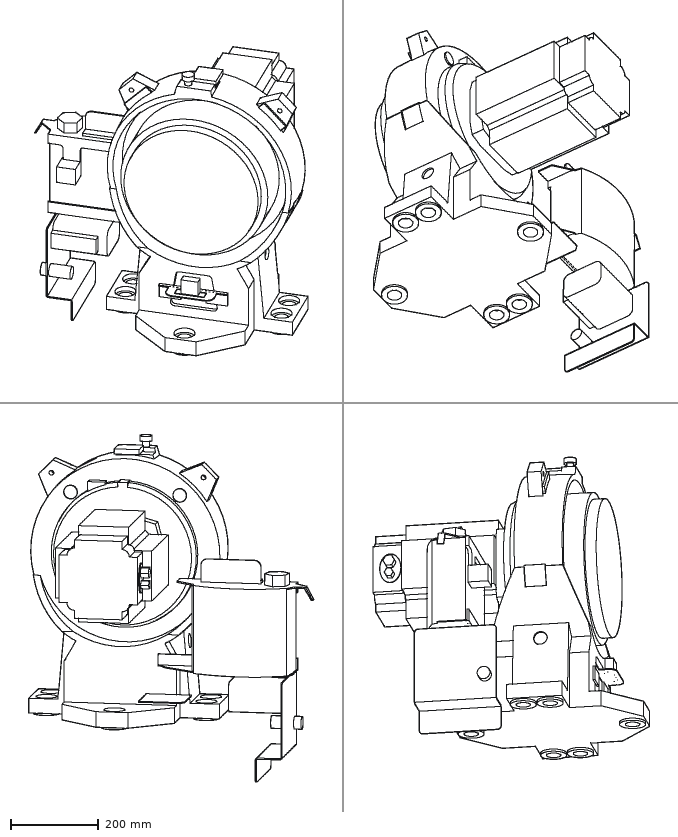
import cadquery as cq

RING_R = 221.5
RING_END_R = 219.0
RING_FRONT = -66.0
RING_BACK = 46.0
RECESS_R = 206.0
RECESS_FLOOR_R = 198.5
RECESS_DEPTH = 52.0
DRUM_R = 175.0
DRUM_FRONT = -107.5
COVER_R = 160.0
COVER_FRONT = -133.5
REAR_DRUM_R = 168.5
REAR_DRUM_BACK = 82.0
REAR_BEVEL_LENGTH = 16.5
REAR_BEVEL_DEPTH = 8.0
REAR_RIB_HALF = 11.0
REAR_RIB_TOP = 171.0
REAR_RIB_FOOT = 134.0
REAR_PAD_LEFT = 43.0
REAR_PAD_RIGHT = 83.5
REAR_PAD_BACK = 69.0
REAR_PAD_TOP = 168.0
REAR_STUD_R = 16.0
REAR_STUD_X = 127.0
REAR_STUD_Z = 139.0
REAR_STUD_H = 4.0
SKIRT_TOP = -57.5
SKIRT_BOTTOM = -174.5
SIDE_PAD = 49.0
SIDE_PAD_DEPTH = 3.0
SIDE_PAD_ANGLE = 20.5

BASE_BOTTOM = -375.0
PED_FRONT = -111.0
PED_BACK = 110.0
PED_TOP = -164.0
PED_HALF = 130.5
PED_BEVEL_TOP_HALF = 85.0
PED_BEVEL_BOTTOM = -243.0
CORE_FRONT = -66.0
CORE_BACK = 63.5
CORE_TOP_HALF = 138.0
CORE_BOTTOM_HALF = 154.0
SIDE_SPOT_R = 16.0
SIDE_SPOT_Z = -207.0
SIDE_SPOT_FLOOR = 136.0
FOOT_TOP = -341.0
PLATFORM_TOP = -339.0
PLATFORM_SHOULDER = 28.0
PLATFORM_TIP_Y = 221.0
PLATFORM_TIP_HALF = 37.0
BOLT_R = 16.5
BOLT_BORE_R = 24.0
BOLT_BORE_DEPTH = 11.0
BOLT_PAD_R = 30.0
BOLT_PAD_H = 5.0
FOOT_BOLT_X = 186.0
FOOT_BOLT_Y = 31.0
FRONT_BOLT_Y = -188.0

LATCH_Z = -262.0
LATCH_T = 2.0
LATCH_HALF = 57.5
LATCH_FRONT = -160.0
LATCH_CORNER = 19.0
LATCH_BLOCK_HALF = 20.0
LATCH_BLOCK_TOP = -224.5
LATCH_BLOCK_FRONT = -147.0
LATCH_BLOCK_BACK = -127.5
LATCH_PAD_HALF = 35.0
LATCH_PAD_FRONT = -148.5
LATCH_PAD_H = 1.5
WING_INNER = 30.0
WING_OUTER = 81.0
WING_BOTTOM = -294.0
WING_T = 4.5
WING_TOP_FRONT = -121.0
LATCH_POCKET_BOTTOM = -315.0
LATCH_POCKET_DEPTH = 10.5
LATCH_POCKET_TOP_HALF = 42.0

LUG_ROOT_R = 209.0
LUG_TIP_R = 268.5
LUG_ROOT_HALF = 48.5
LUG_TIP_HALF = 24.0
LUG_BACK = 19.0
LUG_FRONT = -14.0
LUG_STEP_FRONT = -19.5
LUG_STEP_R = 236.0
LUG_STEP_HALF = 37.0
LUG_HOLE_R = 5.0
LUG_HOLE_AT = 250.0
BOSS_LEFT = -61.0
BOSS_LEFT_SLOPE = 7.5
BOSS_RIGHT = 30.0
BOSS_RIGHT_SLOPE = 2.0
BOSS_TOP = 233.0
BOSS_ROOT = 207.5
BOSS_BACK = 4.0
BOSS_STEP_Y = -33.0
BOSS_STEP_TOP = 223.0
CAP_HALF = 29.0
CAP_BOTTOM = 227.0
CAP_TOP = 239.0
CAP_STEM_HALF = 21.0
SCREW_X = -31.0
SCREW_Y = -48.5
SCREW_R = 8.0
SCREW_HEAD_R = 14.0
SCREW_NECK_TOP = 246.0
SCREW_TOP = 258.0

MOTOR_HALF = 112.0
MOTOR_FRONT = 113.5
MOTOR_BACK = 329.0
MOTOR_RIB_HALF = 58.0
MOTOR_NOTCH_BEVEL = 9.0
END_CAP_HALF = 91.0
END_CAP_BACK = 400.0
END_CAP_RIB_HALF = 55.0
END_CAP_ROUND = 17.0
NECK_FLAT_HALF = 48.5
NECK_CORNER_HALF = 82.0
PLUG_Y = 359.0
PLUG_HALF_Y = 24.5
PLUG_HALF_Z = 34.0
PLUG_T = 2.0
PIN_TIP_X = -112.0
PIN_Z = (13.5, -15.0)
PIN_D = (27.0, 21.0)

TANK_LEFT = -411.0
TANK_RIGHT = -178.0
TANK_FRONT = 123.0
TANK_SIDE_BACK = 177.0
TANK_ARC_Y = 202.0
TANK_CROWN_Y = 230.5
TANK_ARC_INSET = 8.0
LID_TOP = -42.0
LID_T = 3.0
LID_FRONT = 115.0
LID_LEFT = -413.0
LID_RIGHT = -139.5
LID_SIDE_BACK = 137.0
LID_SHOULDER_Y = 186.5
LID_NOTCH_X = -183.5
LID_EAR_BACK = 152.0
LIP_X = -443.0
LIP_ROOT_X = -418.0
LIP_TIP_X = -459.5
LIP_TIP_Z = -72.0
LIP_FRONT = 165.0
LIP_BACK = 180.5
APRON_BOTTOM = -66.0
APRON_FILLET = 9.0
TONGUE_LEFT = -377.0
TONGUE_RIGHT = -336.5
KNOB_LEFT = -381.0
KNOB_TOP = -102.0
KNOB_SIDE = 40.0
KNOB_FRONT = 76.0
HEX_X = -373.0
HEX_Y = 158.0
HEX_D = 58.0
HEX_TOP = -16.0
HEX_TURN = 19.0
FENCE_LEFT = -334.0
FENCE_RIGHT = -195.0
FENCE_FRONT = 129.0
FENCE_BACK = 154.0
FENCE_BASE_TOP = -35.0
FENCE_TOP = 12.0
FENCE_T = 4.0
FENCE_CORNER = 15.0
STRAP_TOP = -218.5
STRAP_BOTTOM = -246.0
STRAP_T = 4.5
STRAP_END_X = -89.5
SPACER_LEFT = -165.5
SPACER_INSET = 3.0
SHELF_T = 2.0
SHELF_BACK = 189.0
SHELF_BEND_X = -112.0
SHELF_BEND_Y = 144.0
REAR_PLATE_LEFT = -165.5
REAR_PLATE_RIGHT = -60.0
REAR_PLATE_BACK = 211.0
REAR_PLATE_TOP = -313.0
REAR_PLATE_CHAMFER = 10.5

BRACKET_X = -400.0
BRACKET_T = 3.0
BRACKET_FRONT = 54.0
BRACKET_BACK = 245.0
BRACKET_TOP = -255.0
BRACKET_SHELF_Z = -433.5
BRACKET_BOTTOM = -488.0
BRACKET_TOE_X = -337.0
BRACKET_CORNER = 9.0
BRACKET_BEND = 6.0
HOUSING_END_X = -267.0
LEDGE_END_X = -289.0
HOUSING_TOP = -265.5
HOUSING_BOTTOM = -336.0
HOUSING_FRONT = 83.0
HOUSING_STEP_Y = 98.5
HOUSING_BACK = 201.5
HOUSING_ROUND = 16.0
ROD_LEFT = -417.0
ROD_RIGHT = -346.0
ROD_Y = 80.0
ROD_Z = -375.0
ROD_R = 15.0


def block(x0, x1, y0, y1, z0, z1):
    """Box given by its limits along each axis."""
    return cq.Workplane("XY").box(x1 - x0, y1 - y0, z1 - z0, centered=False).translate((x0, y0, z0))


def prism_x(points, x0, x1):
    """(Y, Z) polygon running from x0 to x1."""
    return cq.Workplane("YZ", origin=(x0, 0, 0)).polyline(points).close().extrude(x1 - x0)


def prism_y(points, y0, y1):
    """(X, Z) polygon running from y0 to y1."""
    return cq.Workplane("XZ", origin=(0, y1, 0)).polyline(points).close().extrude(y1 - y0)


def prism_z(points, z0, z1):
    """(X, Y) polygon running from z0 to z1."""
    return cq.Workplane("XY", origin=(0, 0, z0)).polyline(points).close().extrude(z1 - z0)


def disc_x(y, z, radius, x0, x1):
    """Cylinder lying along X."""
    return cq.Workplane("YZ", origin=(x0, y, z)).circle(radius).extrude(x1 - x0)


def disc_y(radius, y0, y1):
    """Cylinder on the ring axis."""
    return cq.Workplane("XZ", origin=(0, y1, 0)).circle(radius).extrude(y1 - y0)


def disc_z(x, y, radius, z0, z1):
    """Upright cylinder."""
    return cq.Workplane("XY", origin=(x, y, z0)).circle(radius).extrude(z1 - z0)


def revolve_y(points):
    """(radius, Y) half profile turned about the ring axis."""
    return cq.Workplane("XY").polyline(points).close().revolve(360, (0, 0), (0, 1))


def mirrored(points):
    """Complete a half outline by mirroring it across X = 0."""
    return points + [(-a, b) for a, b in reversed(points)]


def make_pedestal():
    """Bevelled pedestal, curved skirt, feet and platforms."""
    bevelled = prism_y(
        mirrored([(PED_BEVEL_TOP_HALF, PED_TOP), (PED_HALF, PED_BEVEL_BOTTOM), (PED_HALF, BASE_BOTTOM)]),
        PED_FRONT, PED_BACK)
    core = prism_y(
        mirrored([(CORE_TOP_HALF, PED_TOP), (CORE_BOTTOM_HALF, FOOT_TOP),
                  (RING_R, FOOT_TOP), (RING_R, BASE_BOTTOM)]),
        CORE_FRONT, CORE_BACK)
    skirt = disc_y(RING_R, PED_FRONT, PED_BACK).intersect(prism_x(
        [(RING_FRONT, SKIRT_TOP), (PED_FRONT, SKIRT_BOTTOM), (PED_FRONT, -RING_R),
         (PED_BACK, -RING_R), (PED_BACK, SKIRT_BOTTOM), (RING_BACK, SKIRT_TOP)],
        -RING_R, RING_R))
    platform = prism_z(
        mirrored([(PED_HALF, CORE_FRONT), (PED_HALF, PED_FRONT - PLATFORM_SHOULDER),
                  (PLATFORM_TIP_HALF, -PLATFORM_TIP_Y)]),
        BASE_BOTTOM, PLATFORM_TOP)
    pedestal = bevelled.union(core).union(skirt)
    pedestal = pedestal.union(platform).union(platform.mirror("XZ"))
    pedestal = pedestal.cut(disc_y(RECESS_R, PED_FRONT, PED_BACK))
    spot_face = disc_x(0, SIDE_SPOT_Z, SIDE_SPOT_R, SIDE_SPOT_FLOOR, CORE_BOTTOM_HALF)
    return pedestal.cut(spot_face).cut(spot_face.mirror("YZ"))


def add_bolt_holes(body):
    """Counterbored holes with round pads beneath the base."""
    places = [(0, FRONT_BOLT_Y, PLATFORM_TOP), (0, -FRONT_BOLT_Y, PLATFORM_TOP)]
    for x in (-FOOT_BOLT_X, FOOT_BOLT_X):
        for y in (-FOOT_BOLT_Y, FOOT_BOLT_Y):
            places.append((x, y, FOOT_TOP))
    pad_bottom = BASE_BOTTOM - BOLT_PAD_H
    for x, y, top in places:
        body = body.union(disc_z(x, y, BOLT_PAD_R, pad_bottom, BASE_BOTTOM))
    for x, y, top in places:
        body = body.cut(disc_z(x, y, BOLT_R, pad_bottom, top))
        body = body.cut(disc_z(x, y, BOLT_BORE_R, top - BOLT_BORE_DEPTH, top))
    return body


def make_ring():
    """Drafted ring with its recess, drum, cover and bevelled rear drum."""
    back_r = RING_R - (RING_R - RING_END_R) * RING_BACK / -RING_FRONT
    floor_y = RING_FRONT + RECESS_DEPTH
    ring = revolve_y([(0, RING_BACK), (back_r, RING_BACK), (RING_R, 0), (RING_END_R, RING_FRONT),
                      (RECESS_R, RING_FRONT), (RECESS_FLOOR_R, floor_y), (DRUM_R, floor_y),
                      (DRUM_R, DRUM_FRONT), (COVER_R, DRUM_FRONT), (COVER_R, COVER_FRONT),
                      (0, COVER_FRONT)])
    rear = revolve_y([(0, RING_BACK), (REAR_DRUM_R, RING_BACK),
                      (REAR_DRUM_R, REAR_DRUM_BACK - REAR_BEVEL_LENGTH),
                      (REAR_DRUM_R - REAR_BEVEL_DEPTH, REAR_DRUM_BACK), (0, REAR_DRUM_BACK)])
    rib = block(-REAR_RIB_HALF, REAR_RIB_HALF, RING_BACK, REAR_DRUM_BACK, REAR_RIB_FOOT, REAR_RIB_TOP)
    pad = block(REAR_PAD_LEFT, REAR_PAD_RIGHT, RING_BACK, REAR_PAD_BACK, REAR_RIB_FOOT, REAR_PAD_TOP)
    ring = ring.union(rear).union(rib).union(pad)
    for x in (-REAR_STUD_X, REAR_STUD_X):
        stud = disc_y(REAR_STUD_R, RING_BACK, RING_BACK + REAR_STUD_H)
        ring = ring.union(stud.translate((x, 0, REAR_STUD_Z)))
    return ring


def cut_side_pockets(body):
    """Shallow square pockets low on both flanks of the ring."""
    for angle in (SIDE_PAD_ANGLE, 180 - SIDE_PAD_ANGLE):
        pocket = block(RING_R - 2 * SIDE_PAD_DEPTH, RING_R + SIDE_PAD_DEPTH,
                       -SIDE_PAD / 2, SIDE_PAD / 2, -SIDE_PAD / 2, SIDE_PAD / 2)
        body = body.cut(pocket.rotate((0, 0, 0), (0, 1, 0), angle))
    return body


def make_lug(angle):
    """Pierced lifting lug; angle is measured from +Z towards +X."""
    lug = prism_y(mirrored([(LUG_ROOT_HALF, LUG_ROOT_R), (LUG_TIP_HALF, LUG_TIP_R)]), LUG_FRONT, LUG_BACK)
    lug = lug.union(block(-LUG_STEP_HALF, LUG_STEP_HALF, LUG_STEP_FRONT, LUG_FRONT, LUG_ROOT_R, LUG_STEP_R))
    lug = lug.cut(disc_y(LUG_HOLE_R, LUG_FRONT, LUG_BACK).translate((0, 0, LUG_HOLE_AT)))
    return lug.rotate((0, 0, 0), (0, 1, 0), angle)


def make_top_boss():
    """Stepped boss on top of the ring with a cap plate and a clamp screw."""
    boss = prism_y([(BOSS_LEFT, BOSS_ROOT), (BOSS_LEFT + BOSS_LEFT_SLOPE, BOSS_TOP),
                    (BOSS_RIGHT - BOSS_RIGHT_SLOPE, BOSS_TOP), (BOSS_RIGHT, BOSS_ROOT)],
                   RING_FRONT, BOSS_BACK)
    step = block(BOSS_LEFT, BOSS_RIGHT, BOSS_STEP_Y, BOSS_BACK, BOSS_STEP_TOP, BOSS_TOP)
    stem = block(-CAP_STEM_HALF, CAP_STEM_HALF, BOSS_STEP_Y, BOSS_BACK, BOSS_ROOT, CAP_BOTTOM)
    cap = block(-CAP_HALF, CAP_HALF, -CAP_HALF, CAP_HALF, CAP_BOTTOM, CAP_TOP)
    screw = disc_z(SCREW_X, SCREW_Y, SCREW_R, BOSS_TOP, SCREW_NECK_TOP)
    head = disc_z(SCREW_X, SCREW_Y, SCREW_HEAD_R, SCREW_NECK_TOP, SCREW_TOP)
    boss = boss.cut(step).cut(disc_y(RECESS_R, RING_FRONT, BOSS_BACK))
    return boss.union(stem).union(cap).union(screw).union(head)


def make_latch():
    """Latch plate, thumb block and two wings on the pedestal front."""
    plate = block(-LATCH_HALF, LATCH_HALF, LATCH_FRONT, PED_FRONT, LATCH_Z - LATCH_T, LATCH_Z)
    plate = plate.edges("|Z and <Y").fillet(LATCH_CORNER)
    top_flange = block(-WING_OUTER, WING_OUTER, WING_TOP_FRONT, PED_FRONT, LATCH_Z - LATCH_T, LATCH_Z)
    pad = block(-LATCH_PAD_HALF, LATCH_PAD_HALF, LATCH_PAD_FRONT, LATCH_BLOCK_BACK,
                LATCH_Z, LATCH_Z + LATCH_PAD_H)
    thumb = block(-LATCH_BLOCK_HALF, LATCH_BLOCK_HALF, LATCH_BLOCK_FRONT, LATCH_BLOCK_BACK,
                  LATCH_Z, LATCH_BLOCK_TOP)
    wing = block(WING_INNER, WING_OUTER, PED_FRONT - WING_T, PED_FRONT, WING_BOTTOM, LATCH_Z)
    latch = plate.union(top_flange).union(pad).union(thumb)
    return latch.union(wing).union(wing.mirror("YZ"))


def make_latch_pocket():
    """Shallow rounded pocket behind the latch."""
    outline = mirrored([(LATCH_POCKET_TOP_HALF, LATCH_BLOCK_TOP), (LATCH_HALF, LATCH_POCKET_BOTTOM)])
    pocket = prism_y(outline, PED_FRONT, PED_FRONT + LATCH_POCKET_DEPTH)
    return pocket.edges("|Y").fillet(LATCH_CORNER / 2)


def make_motor():
    """Motor with notched corners, a neck to the drum, an end cap and a plug."""
    inner = MOTOR_RIB_HALF + MOTOR_NOTCH_BEVEL
    quarter = [(MOTOR_HALF, MOTOR_RIB_HALF), (inner, MOTOR_RIB_HALF),
               (MOTOR_RIB_HALF, inner), (MOTOR_RIB_HALF, MOTOR_HALF)]
    half = mirrored(quarter)
    motor = prism_y(half + [(-x, -z) for x, z in half], MOTOR_FRONT, MOTOR_BACK)

    wide = 2 * END_CAP_HALF
    rib = 2 * END_CAP_RIB_HALF
    core = rib + 2 * END_CAP_ROUND
    end_plane = cq.Workplane("XZ", origin=(0, END_CAP_BACK, 0))
    cap_length = END_CAP_BACK - MOTOR_BACK
    end_cap = end_plane.rect(core, core).extrude(cap_length).edges("|Y").fillet(END_CAP_ROUND)
    end_cap = end_cap.union(end_plane.rect(wide, rib).extrude(cap_length))
    end_cap = end_cap.union(end_plane.rect(rib, wide).extrude(cap_length))

    neck_quarter = [(NECK_FLAT_HALF, END_CAP_HALF), (NECK_CORNER_HALF, NECK_CORNER_HALF),
                    (END_CAP_HALF, NECK_FLAT_HALF)]
    neck_half = neck_quarter + [(x, -z) for x, z in reversed(neck_quarter)]
    neck = prism_y(mirrored(neck_half), REAR_DRUM_BACK, MOTOR_FRONT)

    plug = (cq.Workplane("YZ", origin=(-END_CAP_HALF - PLUG_T, PLUG_Y, 0))
            .ellipse(PLUG_HALF_Y, PLUG_HALF_Z).extrude(PLUG_T))
    for z, diameter in zip(PIN_Z, PIN_D):
        pin = cq.Workplane("YZ", origin=(PIN_TIP_X, PLUG_Y, z)).polygon(6, diameter)
        plug = plug.union(pin.extrude(-END_CAP_HALF - PIN_TIP_X))
    return motor.union(end_cap).union(neck).union(plug)


def make_tank():
    """Tank with an arched back, its lid, lip, hexagon plug and fence."""
    middle = (TANK_LEFT + TANK_RIGHT) / 2
    arc_left = TANK_LEFT + TANK_ARC_INSET
    arc_right = TANK_RIGHT - TANK_ARC_INSET
    tank = (cq.Workplane("XY", origin=(0, 0, STRAP_BOTTOM))
            .moveTo(TANK_LEFT, TANK_FRONT).lineTo(TANK_LEFT, TANK_SIDE_BACK).lineTo(arc_left, TANK_ARC_Y)
            .threePointArc((middle, TANK_CROWN_Y), (arc_right, TANK_ARC_Y))
            .lineTo(TANK_RIGHT, TANK_SIDE_BACK).lineTo(TANK_RIGHT, TANK_FRONT).close()
            .extrude(LID_TOP - LID_T - STRAP_BOTTOM))
    lid = (cq.Workplane("XY", origin=(0, 0, LID_TOP - LID_T))
           .moveTo(LID_LEFT, LID_FRONT).lineTo(LID_LEFT, LID_SIDE_BACK).lineTo(LIP_X, LIP_FRONT)
           .lineTo(LIP_X, LIP_BACK).lineTo(LIP_ROOT_X, LIP_BACK).lineTo(LID_LEFT, LID_SHOULDER_Y)
           .lineTo(arc_left, TANK_ARC_Y)
           .threePointArc((middle, TANK_CROWN_Y), (arc_right, TANK_ARC_Y))
           .lineTo(LID_NOTCH_X, LID_SHOULDER_Y).lineTo(LID_RIGHT, LID_EAR_BACK)
           .lineTo(LID_RIGHT, LID_FRONT).close().extrude(LID_T))
    lip = prism_y([(LIP_X, LID_TOP), (LIP_TIP_X, LIP_TIP_Z), (LIP_TIP_X + LID_T, LIP_TIP_Z),
                   (LIP_X + LID_T, LID_TOP - LID_T)], LIP_FRONT, LIP_BACK)
    hexagon = (cq.Workplane("XY").polygon(6, HEX_D).extrude(HEX_TOP - LID_TOP)
               .rotate((0, 0, 0), (0, 0, 1), HEX_TURN).translate((HEX_X, HEX_Y, LID_TOP)))
    fence_base = block(FENCE_LEFT, FENCE_RIGHT, FENCE_FRONT, FENCE_BACK, LID_TOP, FENCE_BASE_TOP)
    fence = block(FENCE_LEFT, FENCE_RIGHT, FENCE_BACK - FENCE_T, FENCE_BACK, LID_TOP, FENCE_TOP)
    fence = fence.edges("|Y and >Z").fillet(FENCE_CORNER)
    return tank.union(lid).union(lip).union(hexagon).union(fence_base).union(fence)


def make_tank_mount():
    """Front apron and knob, and the strap that ties the tank to the pedestal."""
    apron = block(LID_LEFT, TANK_RIGHT, LID_FRONT, TANK_FRONT, APRON_BOTTOM, LID_TOP)
    apron = apron.union(block(TONGUE_LEFT, TONGUE_RIGHT, LID_FRONT, TANK_FRONT, KNOB_TOP, APRON_BOTTOM))
    corners = cq.selectors.BoxSelector((TONGUE_LEFT - LID_T, 0, APRON_BOTTOM - LID_T),
                                       (TONGUE_RIGHT + LID_T, TANK_CROWN_Y, APRON_BOTTOM + LID_T))
    apron = apron.edges("|Y").edges(corners).fillet(APRON_FILLET)
    knob = block(KNOB_LEFT, TONGUE_RIGHT, KNOB_FRONT, TANK_FRONT, KNOB_TOP - KNOB_SIDE, KNOB_TOP)
    strap = block(LID_LEFT, STRAP_END_X, LID_FRONT, LID_FRONT + STRAP_T, STRAP_BOTTOM, STRAP_TOP)
    spacer = block(SPACER_LEFT, STRAP_END_X, PED_BACK, LID_FRONT,
                   STRAP_BOTTOM + SPACER_INSET, STRAP_TOP - SPACER_INSET)
    shelf = prism_z([(LID_LEFT, LID_FRONT), (LID_LEFT, SHELF_BACK), (TANK_RIGHT, SHELF_BACK),
                     (SHELF_BEND_X, SHELF_BEND_Y), (STRAP_END_X, LID_FRONT)],
                    STRAP_BOTTOM, STRAP_BOTTOM + SHELF_T)
    rear_plate = block(REAR_PLATE_LEFT, REAR_PLATE_RIGHT, PED_BACK, REAR_PLATE_BACK,
                       REAR_PLATE_TOP - SHELF_T, REAR_PLATE_TOP)
    rear_plate = rear_plate.edges("|Z and <X and >Y").chamfer(REAR_PLATE_CHAMFER)
    return apron.union(knob).union(strap).union(spacer).union(shelf).union(rear_plate)


def make_machine():
    """Pedestal, ring, motor and tank as one body."""
    body = add_bolt_holes(make_pedestal())
    body = body.cut(make_latch_pocket()).union(make_latch())
    body = cut_side_pockets(body.union(make_ring())).union(make_top_boss())
    for angle in (-45, 45):
        body = body.union(make_lug(angle))
    return body.union(make_motor()).union(make_tank()).union(make_tank_mount())


def make_bracket():
    """Folded plate carrying a rounded housing with a front ledge, and a rod."""
    inner_x = BRACKET_X + BRACKET_T
    toe_inner_x = BRACKET_TOE_X - BRACKET_T
    shelf_top = BRACKET_SHELF_Z + BRACKET_T
    plate = prism_y([(BRACKET_X, BRACKET_TOP), (inner_x, BRACKET_TOP), (inner_x, shelf_top),
                     (BRACKET_TOE_X, shelf_top), (BRACKET_TOE_X, BRACKET_BOTTOM),
                     (toe_inner_x, BRACKET_BOTTOM), (toe_inner_x, BRACKET_SHELF_Z),
                     (BRACKET_X, BRACKET_SHELF_Z)], BRACKET_FRONT, BRACKET_BACK)
    plate = plate.edges("|Y").edges(cq.selectors.NearestToPointSelector(
        (BRACKET_X, ROD_Y, BRACKET_SHELF_Z))).fillet(BRACKET_BEND)
    plate = plate.edges("|Y").edges(cq.selectors.NearestToPointSelector(
        (BRACKET_TOE_X, ROD_Y, shelf_top))).fillet(BRACKET_BEND)
    plate = plate.edges("|X").edges(">Z or <Z").fillet(BRACKET_CORNER)
    housing = block(inner_x, HOUSING_END_X, HOUSING_STEP_Y, HOUSING_BACK, HOUSING_BOTTOM, HOUSING_TOP)
    housing = housing.edges("|X").fillet(HOUSING_ROUND)
    ledge = block(inner_x, LEDGE_END_X, HOUSING_FRONT, HOUSING_STEP_Y + HOUSING_ROUND,
                  HOUSING_BOTTOM + HOUSING_ROUND, HOUSING_TOP - HOUSING_ROUND)
    rod = disc_x(ROD_Y, ROD_Z, ROD_R, ROD_LEFT, ROD_RIGHT)
    return plate.union(housing).union(ledge).union(rod)


machine = make_machine()
bracket = make_bracket()
result = cq.Compound.makeCompound([*machine.vals(), *bracket.vals()])